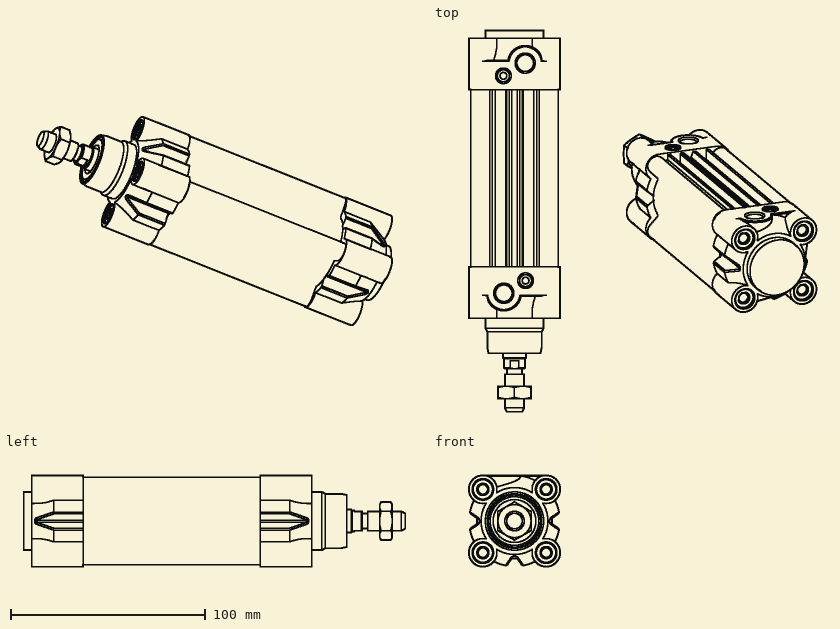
import cadquery as cq
import math


TUBE_LENGTH = 91.0
CAP_LENGTH = 26.5
REAR_FACE_Y = TUBE_LENGTH + 2 * CAP_LENGTH

BOLT_OFFSET = 16.25
CORNER_R = 7.25
CAP_HALF = BOLT_OFFSET + CORNER_R
CORE_R = 23.4
CORE_FRONT_R = 17.2
LOBE_LENGTH = 15.2
SPIGOT_R = 15.0
REAR_SPIGOT_LENGTH = 4.0

GROOVE_FLOOR_Z = 17.8
GROOVE_FLOOR_HALF = 0.5
GROOVE_WALL_ANGLE = 34.0
GROOVE_CHAMFER = 0.6
GROOVE_LENGTH = 24.0

SOCKET_RIM_D = 11.0
SOCKET_D = 10.0
SOCKET_DEPTH = 1.0
SCREW_BORE_D = 6.2
SCREW_BORE_DEPTH = 1.0
DIMPLE_D = 4.92

PORT_X = -5.5
PORT_FROM_TUBE = 13.6
PORT_BOSS_R = 9.0
PORT_BOSS_BASE_Z = 12.0
PAD_CHAMFER = 0.6
PORT_RIM_D = 10.3
PORT_D = 8.57
PORT_DEPTH = 12.0
CUSHION_X = 5.7
CUSHION_FROM_TUBE = 7.1
CUSHION_STEPS = [(7.99, 0.5), (6.2, 1.0), (3.5, 2.0)]

COLLAR_R = 14.0
COLLAR_CHAMFER_R = 13.8
COLLAR_END_R = 13.4
COLLAR_LENGTH = 18.0
COLLAR_TAPER = 2.8
COLLAR_CHAMFER = 2.0
SPIGOT_LENGTH = 5.2
SPIGOT_TAPER = 1.8
RING_GROOVE_R = (11.0, 12.5)
RING_GROOVE_DEPTH = 1.0
RECESS_R = 7.8
RECESS_DEPTH = 3.0

BORE_R = 16.0
TUBE_R = 19.4
LOBE_CENTRE = 17.8
LOBE_R = 4.7
FLANK_FILLET_R = 1.0
RAIL_TOP_Z = LOBE_CENTRE + LOBE_R
SLOT_FLOOR_Z = 17.0
OUTER_RAIL_X = (10.0, 11.4)
INNER_RAIL_X = (2.7, 4.4)
RAIL_CHAMFER = 0.5
CENTRE_FLOOR_HALF = 1.5
LEDGE_X = 12.7
LEDGE_RISE = 0.5

ROD_R = 6.0
ROD_FULL_END = 20.2
ROD_TURNED_R = 5.5
ROD_SHOULDER = 26.0
SHOULDER_CHAMFER = 0.6
FLAT_START = 21.8
FLAT_HALF = 5.0
NECK_R = 3.95
NECK_END = 28.6
THREAD_R = 5.0
ROD_TIP = 48.0
TIP_TAPER = 2.0
TIP_R = 4.0
NUT_ACROSS_FLATS = 17.0
NUT_START = 34.8
NUT_HEIGHT = 6.5
NUT_CHAMFER_ANGLE = 30.0

CORNERS = [(sx * BOLT_OFFSET, sz * BOLT_OFFSET) for sx in (-1, 1) for sz in (-1, 1)]
EXTRA = 1.0


def prism_y(sketch_plane_y, length, points):
    """Prism along +Y from a closed polygon of (x, z) points."""
    plane = cq.Workplane("XZ", origin=(0, sketch_plane_y, 0))
    return plane.polyline(points).close().extrude(-length)


def cylinder_y(radius, start, length, x=0.0, z=0.0):
    return cq.Workplane("XZ", origin=(x, start, z)).circle(radius).extrude(-length)


def cylinder_down(diameter, x, y, top, depth):
    return cq.Workplane("XY", origin=(x, y, top)).circle(diameter / 2).extrude(-depth)


def turned(profile, x=0.0, z=0.0):
    """Solid of revolution about the Y direction from (radius, y) points."""
    outline = cq.Workplane("XY").polyline(profile).close()
    return outline.revolve(360, (0, 0, 0), (0, 1, 0)).translate((x, 0, z))


def cap_core():
    lobe_y = CAP_LENGTH - LOBE_LENGTH
    return turned([
        (0, 0),
        (CORE_FRONT_R, 0),
        (CORE_R, lobe_y),
        (CORE_R, CAP_LENGTH),
        (0, CAP_LENGTH),
    ])


def cap_groove():
    """V groove cutter at the bottom, with sloping walls and a round end."""
    opening = CAP_HALF + EXTRA
    wall_slope = math.tan(math.radians(GROOVE_WALL_ANGLE))
    opening_half = GROOVE_FLOOR_HALF + (opening - GROOVE_FLOOR_Z) * wall_slope
    start = CAP_LENGTH - GROOVE_LENGTH + GROOVE_FLOOR_HALF
    cutter = prism_y(start, GROOVE_LENGTH, [
        (-GROOVE_FLOOR_HALF, -GROOVE_FLOOR_Z),
        (GROOVE_FLOOR_HALF, -GROOVE_FLOOR_Z),
        (opening_half, -opening),
        (-opening_half, -opening),
    ])
    end = cq.Workplane("XY", origin=(0, start, -GROOVE_FLOOR_Z)).circle(GROOVE_FLOOR_HALF)
    cone = end.workplane(offset=GROOVE_FLOOR_Z - opening).circle(opening_half).loft()
    return cutter.union(cone)


def grooved_core():
    """Round core with a groove at the bottom and on both sides, each with a chamfered mouth."""
    mouth = cq.selectors.BoxSelector(
        (-CORNER_R, EXTRA, -CAP_HALF),
        (CORNER_R, CAP_LENGTH - EXTRA, -GROOVE_FLOOR_Z - GROOVE_FLOOR_HALF / 2),
    )
    core = cap_core().rotate((0, 0, 0), (0, 1, 0), -90)
    for angle in (0, 90, -90):
        core = core.rotate((0, 0, 0), (0, 1, 0), angle).cut(cap_groove())
        core = core.edges(mouth).edges("not #Y").chamfer(GROOVE_CHAMFER)
        core = core.rotate((0, 0, 0), (0, 1, 0), -angle)
    return core


def bolt_socket(x, z):
    rim_chamfer = (SOCKET_RIM_D - SOCKET_D) / 2
    bore_end = SOCKET_DEPTH + SCREW_BORE_DEPTH
    return turned([
        (0, 0),
        (SOCKET_RIM_D / 2, 0),
        (SOCKET_D / 2, rim_chamfer),
        (SOCKET_D / 2, SOCKET_DEPTH),
        (SCREW_BORE_D / 2, SOCKET_DEPTH),
        (SCREW_BORE_D / 2, bore_end),
        (DIMPLE_D / 2, bore_end),
        (0, bore_end + DIMPLE_D / 2),
    ], x, z)


def air_port():
    y = CAP_LENGTH - PORT_FROM_TUBE
    hole = cylinder_down(PORT_D, PORT_X, y, CAP_HALF, PORT_DEPTH)
    rim_depth = (PORT_RIM_D - PORT_D) / 2
    rim = cq.Workplane("XY", origin=(PORT_X, y, CAP_HALF)).circle(PORT_RIM_D / 2)
    rim = rim.workplane(offset=-rim_depth).circle(PORT_D / 2).loft()
    return hole.union(rim)


def cap_block():
    """Cap without spigots, from the mounting face at y = 0 to the tube at +Y."""
    pad_centre_y = CAP_LENGTH - LOBE_LENGTH / 2
    pad = cq.Workplane("XY", origin=(0, pad_centre_y, CAP_HALF / 2))
    pad = pad.box(2 * BOLT_OFFSET, LOBE_LENGTH, CAP_HALF)
    boss_y = CAP_LENGTH - PORT_FROM_TUBE
    boss_height = CAP_HALF - PORT_BOSS_BASE_Z
    boss = cylinder_down(2 * PORT_BOSS_R, PORT_X, boss_y, CAP_HALF, boss_height)

    front_edges = cq.selectors.BoxSelector(
        (-CAP_HALF, -EXTRA, CAP_HALF - PAD_CHAMFER),
        (CAP_HALF, CAP_LENGTH - LOBE_LENGTH + EXTRA, CAP_HALF + EXTRA),
    )
    pad = pad.union(boss).edges(front_edges).chamfer(PAD_CHAMFER)

    block = grooved_core().union(pad)
    for x, z in CORNERS:
        block = block.union(cylinder_y(CORNER_R, 0, CAP_LENGTH, x, z))
    for x, z in CORNERS:
        block = block.cut(bolt_socket(x, z))
    block = block.cut(air_port())
    for diameter, depth in CUSHION_STEPS:
        y = CAP_LENGTH - CUSHION_FROM_TUBE
        block = block.cut(cylinder_down(diameter, CUSHION_X, y, CAP_HALF, depth))
    return block


def build_front_cap():
    collar = turned([
        (0, EXTRA),
        (SPIGOT_R, EXTRA),
        (SPIGOT_R, -SPIGOT_LENGTH),
        (COLLAR_R, -SPIGOT_LENGTH - SPIGOT_TAPER),
        (COLLAR_R, COLLAR_TAPER - COLLAR_LENGTH),
        (COLLAR_CHAMFER_R, COLLAR_CHAMFER - COLLAR_LENGTH),
        (COLLAR_END_R, -COLLAR_LENGTH),
        (0, -COLLAR_LENGTH),
    ])
    recess = cylinder_y(RECESS_R, -COLLAR_LENGTH, RECESS_DEPTH)
    ring_groove = cylinder_y(RING_GROOVE_R[1], -COLLAR_LENGTH, RING_GROOVE_DEPTH).cut(
        cylinder_y(RING_GROOVE_R[0], -COLLAR_LENGTH, RING_GROOVE_DEPTH)
    )
    rod_hole = cylinder_y(ROD_R, -COLLAR_LENGTH, COLLAR_LENGTH + CAP_LENGTH)
    return cap_block().union(collar).cut(ring_groove).cut(recess).cut(rod_hole)


def build_rear_cap():
    spigot = cylinder_y(SPIGOT_R, -REAR_SPIGOT_LENGTH, REAR_SPIGOT_LENGTH + EXTRA)
    cap = cap_block().union(spigot)
    return cap.rotate((0, 0, 0), (0, 0, 1), 180).translate((0, REAR_FACE_Y, 0))


def tube_body():
    """Round tube with four corner lobes joined by 45 degree flanks."""
    lobe_reach = LOBE_R * math.sin(math.radians(45))
    near = LOBE_CENTRE - lobe_reach
    far = LOBE_CENTRE + lobe_reach
    rise = far - near
    foot_x = (math.sqrt(2 * TUBE_R**2 - rise**2) - rise) / 2
    foot_z = foot_x + rise

    outline = cq.Workplane("XZ", origin=(0, CAP_LENGTH, 0)).moveTo(-foot_x, foot_z)
    for quarter in range(4):
        turn = math.radians(-90 * quarter)

        def at(x, z):
            return (x * math.cos(turn) - z * math.sin(turn), x * math.sin(turn) + z * math.cos(turn))

        outline = outline.threePointArc(at(0, TUBE_R), at(foot_x, foot_z))
        outline = outline.lineTo(*at(near, far))
        outline = outline.threePointArc(at(far, far), at(far, near))
        outline = outline.lineTo(*at(foot_z, foot_x))
    tube = outline.close().extrude(-TUBE_LENGTH)

    foot_reach = foot_z + LOBE_R / 4
    valleys = cq.selectors.BoxSelector(
        (-foot_reach, CAP_LENGTH, -foot_reach),
        (foot_reach, CAP_LENGTH + TUBE_LENGTH, foot_reach),
    )
    return tube.edges("|Y").edges(valleys).fillet(FLANK_FILLET_R)


def sensor_rails():
    """Block with the rails on top of the tube: two wide slots and a tapered centre groove."""
    ledge_z = LEDGE_X + 2 * LOBE_R * math.sin(math.radians(45))
    right = [
        (CENTRE_FLOOR_HALF, TUBE_R),
        (INNER_RAIL_X[0], RAIL_TOP_Z),
        (INNER_RAIL_X[1] - RAIL_CHAMFER, RAIL_TOP_Z),
        (INNER_RAIL_X[1], RAIL_TOP_Z - RAIL_CHAMFER),
        (INNER_RAIL_X[1], SLOT_FLOOR_Z),
        (OUTER_RAIL_X[0], SLOT_FLOOR_Z),
        (OUTER_RAIL_X[0], RAIL_TOP_Z),
        (OUTER_RAIL_X[1], RAIL_TOP_Z),
        (OUTER_RAIL_X[1], ledge_z + LEDGE_RISE),
        (LEDGE_X, ledge_z),
        (OUTER_RAIL_X[0], BORE_R),
    ]
    left = [(-x, z) for x, z in reversed(right)]
    return prism_y(CAP_LENGTH, TUBE_LENGTH, right + left)


def build_tube():
    tube = tube_body().union(sensor_rails())
    slot_height = RAIL_TOP_Z - SLOT_FLOOR_Z
    slot_width = OUTER_RAIL_X[0] - INNER_RAIL_X[1]
    slot_x = (OUTER_RAIL_X[0] + INNER_RAIL_X[1]) / 2
    for side in (-1, 1):
        centre = (side * slot_x, CAP_LENGTH + TUBE_LENGTH / 2, SLOT_FLOOR_Z + slot_height / 2)
        tube = tube.cut(cq.Workplane("XY", origin=centre).box(slot_width, TUBE_LENGTH, slot_height))
    return tube.cut(cylinder_y(BORE_R, CAP_LENGTH, TUBE_LENGTH))


def build_rod():
    relief = ROD_R - ROD_TURNED_R
    rod = turned([
        (0, CAP_LENGTH),
        (ROD_R, CAP_LENGTH),
        (ROD_R, -ROD_FULL_END),
        (ROD_TURNED_R, -ROD_FULL_END - relief),
        (ROD_TURNED_R, SHOULDER_CHAMFER - ROD_SHOULDER),
        (ROD_TURNED_R - SHOULDER_CHAMFER, -ROD_SHOULDER),
        (NECK_R, -ROD_SHOULDER),
        (NECK_R, -NECK_END),
        (THREAD_R, -NECK_END),
        (THREAD_R, TIP_TAPER - ROD_TIP),
        (TIP_R, -ROD_TIP),
        (0, -ROD_TIP),
    ])
    flat_length = ROD_SHOULDER - FLAT_START
    for side in (-1, 1):
        centre = (0, -FLAT_START - flat_length / 2, side * (FLAT_HALF + ROD_R / 2))
        rod = rod.cut(cq.Workplane("XY", origin=centre).box(2 * ROD_R, flat_length, ROD_R))
    return rod


def build_nut():
    corner_r = NUT_ACROSS_FLATS / math.sqrt(3)
    points = []
    for index in range(6):
        angle = math.radians(90 + 60 * index)
        points.append((corner_r * math.cos(angle), corner_r * math.sin(angle)))
    end = -NUT_START - NUT_HEIGHT
    nut = prism_y(end, NUT_HEIGHT, points)

    face_r = NUT_ACROSS_FLATS / 2
    drop = (corner_r - face_r) * math.tan(math.radians(NUT_CHAMFER_ANGLE))
    envelope = turned([
        (0, end),
        (face_r, end),
        (corner_r, end + drop),
        (corner_r, -NUT_START - drop),
        (face_r, -NUT_START),
        (0, -NUT_START),
    ])
    return nut.intersect(envelope).cut(cylinder_y(THREAD_R, end, NUT_HEIGHT))


front_cap = build_front_cap()
rear_cap = build_rear_cap()
tube = build_tube()
rod = build_rod()
nut = build_nut()

result = cq.Compound.makeCompound([
    front_cap.val(),
    rear_cap.val(),
    tube.val(),
    rod.val(),
    nut.val(),
])